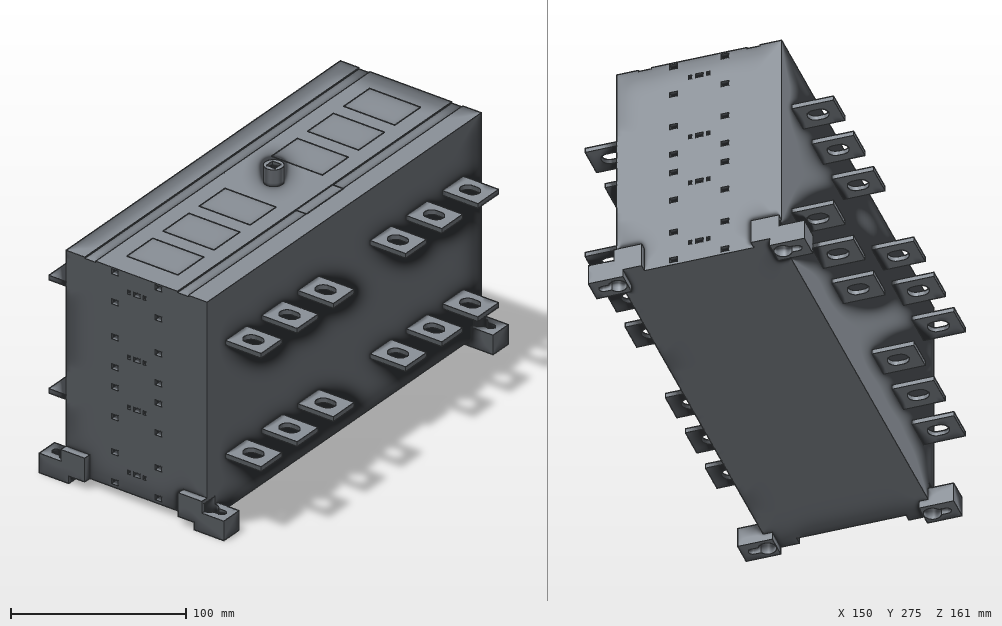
import cadquery as cq

overall_width = 150.0
overall_length = 275.0
overall_height = 161.0

body_width = 99.5
body_length = 265.0
body_bottom = 5.0
body_top = 150.0
body_middle = (body_top + body_bottom) / 2
side_x = body_width / 2
end_y = body_length / 2

pole_pitch = 35.0
pole_places = [pole_pitch * step for step in (-3, -2, -1, 1, 2, 3)]

groove_width = 7.7
groove_offset = 32.7
groove_depth = 0.8
groove_pad_length = 35.5
groove_pad_height = 0.3

window_width = 36.0
window_length = 25.0
window_depth = 0.3

shaft_diameter = 11.8
socket_side = 6.0
shaft_height = overall_height - body_top

tab_width = 20.0
tab_thickness = 3.0
tab_rise = 37.5
tab_levels = [body_middle - tab_rise, body_middle + tab_rise]
tab_slot_length = 12.6
tab_slot_width = 9.4
tab_slot_offset = 62.2

foot_outer_x = 65.2
foot_inner_x = 44.3
foot_width = 14.8
foot_height = 13.0
lug_inner_x = 33.0
lug_top = 20.5
foot_y = (overall_length - foot_width) / 2

keyhole_head_diameter = 10.5
keyhole_neck_width = 5.0
keyhole_tip_x = 61.0
keyhole_top = 18.2

vent_middle = 77.8
vent_group_offsets = (-59.5, -16.5, 16.5, 59.5)
vent_depth = 5.5
vent_width = 4.7
outer_vent_height = 3.3
outer_vent_x = 15.5
outer_vent_z = 10.0
middle_vent_height = 2.8
small_vent_width = 2.0
small_vent_height = 2.5
small_vent_x = 5.5


def block(x_range, y_range, z_range):
    """Box between the given limits on each axis."""
    sizes = [high - low for low, high in (x_range, y_range, z_range)]
    corner = (x_range[0], y_range[0], z_range[0])
    return cq.Workplane("XY").box(*sizes, centered=False).translate(corner)


def on_all_corners(shape):
    """Copies of a +X +Y corner shape mirrored to all four corners."""
    pair = shape.union(shape.mirror("YZ"))
    return pair.union(pair.mirror("XZ"))


def make_tabs():
    """Flat bars across the housing whose slotted ends are the terminals."""
    tabs = cq.Workplane("XY")
    for level in tab_levels:
        bars = (
            cq.Workplane("XY", origin=(0, 0, level - tab_thickness / 2))
            .pushPoints([(0, y) for y in pole_places])
            .rect(overall_width, tab_width)
            .extrude(tab_thickness)
        )
        tabs = tabs.add(bars)
    slot_centres = [(side * tab_slot_offset, y) for side in (-1, 1) for y in pole_places]
    slots = (
        cq.Workplane("XY")
        .pushPoints(slot_centres)
        .slot2D(tab_slot_length, tab_slot_width)
        .extrude(body_top)
    )
    return tabs.combine().cut(slots)


def make_foot():
    """Stepped foot at the +X +Y corner."""
    outline = [
        (foot_inner_x, 0),
        (foot_outer_x, 0),
        (foot_outer_x, foot_height),
        (side_x, foot_height),
        (side_x, lug_top),
        (lug_inner_x, lug_top),
        (lug_inner_x, body_bottom),
        (foot_inner_x, body_bottom),
    ]
    return (
        cq.Workplane("XZ", origin=(0, overall_length / 2, 0))
        .polyline(outline)
        .close()
        .extrude(foot_width)
    )


def make_keyhole():
    """Keyhole cutter: round head on the housing side face, neck pointing outward."""
    neck_radius = keyhole_neck_width / 2
    neck_end_x = keyhole_tip_x - neck_radius
    base = cq.Workplane("XY", origin=(0, foot_y, 0))
    head = base.center(side_x, 0).circle(keyhole_head_diameter / 2).extrude(keyhole_top)
    tip = base.center(neck_end_x, 0).circle(neck_radius).extrude(foot_height)
    neck = block(
        (side_x, neck_end_x),
        (foot_y - neck_radius, foot_y + neck_radius),
        (0, foot_height),
    )
    return head.union(neck).union(tip)


def make_grooves():
    """Two grooves along the top, the +X one with a low pad at mid-length."""
    floor = body_top - groove_depth
    grooves = (
        cq.Workplane("XY", origin=(0, 0, floor))
        .pushPoints([(-groove_offset, 0), (groove_offset, 0)])
        .rect(groove_width, body_length)
        .extrude(groove_depth)
    )
    pad = (
        cq.Workplane("XY", origin=(groove_offset, 0, floor))
        .rect(groove_width, groove_pad_length)
        .extrude(groove_pad_height)
    )
    return grooves.cut(pad)


def make_windows():
    """Shallow rectangular recesses in the top face."""
    return (
        cq.Workplane("XY", origin=(0, 0, body_top - window_depth))
        .pushPoints([(0, y) for y in pole_places])
        .rect(window_width, window_length)
        .extrude(window_depth)
    )


def make_shaft():
    """Round shaft with a square socket down its whole length."""
    return (
        cq.Workplane("XY", origin=(0, 0, body_top))
        .circle(shaft_diameter / 2)
        .extrude(shaft_height)
        .faces(">Z")
        .workplane()
        .rect(socket_side, socket_side)
        .cutBlind(-shaft_height)
    )


def vent_row(points, width, height):
    """Rectangular vent cutters reaching into the housing from its -Y end."""
    return (
        cq.Workplane("XZ", origin=(0, -end_y, 0))
        .pushPoints(points)
        .rect(width, height)
        .extrude(-vent_depth)
    )


def make_vents():
    """Vent cutters for both ends."""
    levels = [vent_middle + offset for offset in vent_group_offsets]
    outer_points = [
        (x, level + dz)
        for level in levels
        for x in (-outer_vent_x, outer_vent_x)
        for dz in (-outer_vent_z, outer_vent_z)
    ]
    middle_points = [(0, level) for level in levels]
    small_points = [(x, level) for level in levels for x in (-small_vent_x, small_vent_x)]
    vents = (
        vent_row(outer_points, vent_width, outer_vent_height)
        .add(vent_row(middle_points, vent_width, middle_vent_height))
        .add(vent_row(small_points, small_vent_width, small_vent_height))
        .combine()
    )
    return vents.union(vents.mirror("XZ"))


housing = block((-side_x, side_x), (-end_y, end_y), (body_bottom, body_top))

result = (
    housing.union(make_tabs())
    .union(on_all_corners(make_foot()))
    .cut(on_all_corners(make_keyhole()))
    .cut(make_grooves())
    .cut(make_windows())
    .cut(make_vents())
    .union(make_shaft())
)